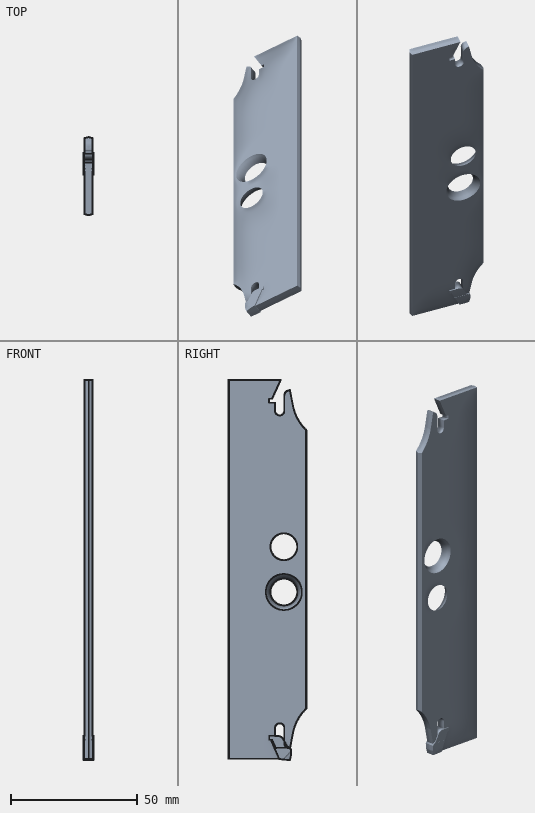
import cadquery as cq

BLADE_LENGTH = 150.0
BLADE_HEIGHT = 31.0
BLADE_THICKNESS = 3.3
EDGE_DEPTH = 0.5
HALF_LENGTH = BLADE_LENGTH / 2

HOLE_Y = 22.0
HOLE_SPACING = 18.0
HOLE_DIAMETER = 10.5
HOLE_MOUTH_DIAMETER = 14.3

SEAT_TOP_Y = 20.8
SEAT_ROOT_Y = 17.3
NOTCH_Y = 16.1
NOTCH_TOP_Z = 67.5
NOTCH_BOTTOM_Z = 66.0
SLOT_WIDTH = 3.6
SLOT_Y = 20.3
SLOT_BOTTOM_Z = 61.0
JAW_INNER_Z = 68.5
JAW_TOP_Z = 70.6
JAW_ROUND_Y = 23.2
JAW_ROUND_MID = (22.5, 69.9)
JAW_TIP_Y = 24.4
JAW_TIP_Z = 71.1

RELIEF_ARC_START = (25.8, 64.2)
RELIEF_ARC_MID = (27.9, 58.9)
RELIEF_EDGE_Z = 55.0

INSERT_WIDTH = 4.2
TAIL_WIDTH = 4.0
INSERT_TIP_Z = -75.6
HEAD_TOP_Z = -70.6
NOSE_Y = 24.9
NOSE_TOP_Z = -71.4
NOSE_BOTTOM_Z = -73.7
FLANK_Y = 20.2
FLANK_Z = -75.2
FLANK_TOP_Y = 16.9
TAIL_CORNER = (23.3, -70.2)
TAIL_ROUND_START = (22.0, -67.6)
TAIL_ROUND_MID = (21.1, -66.5)
TAIL_ROUND_END = (19.9, -66.0)
FACET_LENGTH_Y = 3.6
FACET_LENGTH_Z = 3.9
FACET_DEPTH = 0.5


def slab(profile, width):
    """Extrude a closed YZ profile symmetrically about X = 0."""
    return profile.close().extrude(width).translate((-width / 2, 0, 0))


def plate():
    """Plain blade with a V ridge along both long edges."""
    half = BLADE_THICKNESS / 2
    section = [
        (-half, EDGE_DEPTH),
        (0, 0),
        (half, EDGE_DEPTH),
        (half, BLADE_HEIGHT - EDGE_DEPTH),
        (0, BLADE_HEIGHT),
        (-half, BLADE_HEIGHT - EDGE_DEPTH),
    ]
    lower_end = cq.Workplane("XY", origin=(0, 0, -HALF_LENGTH))
    return lower_end.polyline(section).close().extrude(BLADE_LENGTH)


def end_cutout():
    """Material removed at the upper end: relief, insert pocket and slot."""
    slot_radius = SLOT_WIDTH / 2
    slot_front = SLOT_Y - slot_radius
    slot_back = SLOT_Y + slot_radius
    slot_arc_z = SLOT_BOTTOM_Z + slot_radius
    profile = (
        cq.Workplane("YZ")
        .moveTo(SEAT_TOP_Y, HALF_LENGTH)
        .lineTo(SEAT_ROOT_Y, NOTCH_TOP_Z)
        .lineTo(NOTCH_Y, NOTCH_TOP_Z)
        .lineTo(NOTCH_Y, NOTCH_BOTTOM_Z)
        .lineTo(slot_front, NOTCH_BOTTOM_Z)
        .lineTo(slot_front, slot_arc_z)
        .threePointArc((SLOT_Y, SLOT_BOTTOM_Z), (slot_back, slot_arc_z))
        .lineTo(slot_back, JAW_INNER_Z)
        .threePointArc(JAW_ROUND_MID, (JAW_ROUND_Y, JAW_TOP_Z))
        .lineTo(JAW_TIP_Y, JAW_TIP_Z)
        .lineTo(*RELIEF_ARC_START)
        .threePointArc(RELIEF_ARC_MID, (BLADE_HEIGHT, RELIEF_EDGE_Z))
        .lineTo(BLADE_HEIGHT, HALF_LENGTH)
    )
    return slab(profile, BLADE_THICKNESS)


def tapered_hole():
    """Conical hole at Z = 0 through the blade, widest at the -X face."""
    mouth = cq.Vector(-BLADE_THICKNESS / 2, HOLE_Y, 0)
    inward = cq.Vector(1, 0, 0)
    cone = cq.Solid.makeCone(
        HOLE_MOUTH_DIAMETER / 2, HOLE_DIAMETER / 2, BLADE_THICKNESS, mouth, inward
    )
    return cq.Workplane(cone)


def build_blade():
    """Blade with matching end pockets and two holes tapering in opposite directions."""
    upper_cutout = end_cutout()
    upper_hole = tapered_hole().translate((0, 0, HOLE_SPACING / 2))
    lower_hole = upper_hole.rotate((0, HOLE_Y, 0), (0, HOLE_Y + 1.5, 0), 180)
    body = plate().cut(upper_cutout).cut(upper_cutout.mirror("XY"))
    return body.cut(upper_hole).cut(lower_hole)


def flank_point(z):
    """Point at height z on the straight flank of the insert."""
    fraction = (z - FLANK_Z) / (-NOTCH_TOP_Z - FLANK_Z)
    return FLANK_Y + fraction * (FLANK_TOP_Y - FLANK_Y), z


def insert_head():
    """Cutting head below the step."""
    profile = (
        cq.Workplane("YZ")
        .moveTo(JAW_TIP_Y, HEAD_TOP_Z)
        .lineTo(NOSE_Y, NOSE_TOP_Z)
        .lineTo(NOSE_Y, NOSE_BOTTOM_Z)
        .lineTo(JAW_TIP_Y, INSERT_TIP_Z)
        .lineTo(FLANK_Y, FLANK_Z)
        .lineTo(*flank_point(HEAD_TOP_Z))
    )
    return slab(profile, INSERT_WIDTH)


def insert_tail():
    """Tail clamped between the seat and the jaw, ending in the stop notch."""
    profile = (
        cq.Workplane("YZ")
        .moveTo(*flank_point(HEAD_TOP_Z))
        .lineTo(FLANK_TOP_Y, -NOTCH_TOP_Z)
        .lineTo(NOTCH_Y, -NOTCH_TOP_Z)
        .lineTo(NOTCH_Y, -NOTCH_BOTTOM_Z)
        .lineTo(*TAIL_ROUND_END)
        .threePointArc(TAIL_ROUND_MID, TAIL_ROUND_START)
        .lineTo(*TAIL_CORNER)
        .lineTo(JAW_TIP_Y, HEAD_TOP_Z)
    )
    return slab(profile, TAIL_WIDTH)


def tip_facet():
    """Corner tetrahedron to remove from the -X side of the cutting tip."""
    side_x = -INSERT_WIDTH / 2
    corner = cq.Vector(side_x, NOSE_Y, INSERT_TIP_Z)
    along_y = corner - cq.Vector(0, FACET_LENGTH_Y, 0)
    along_z = corner + cq.Vector(0, 0, FACET_LENGTH_Z)
    inward = corner + cq.Vector(FACET_DEPTH, 0, 0)
    triangles = [
        (corner, along_y, along_z),
        (corner, along_y, inward),
        (corner, along_z, inward),
        (along_y, along_z, inward),
    ]
    outlines = [cq.Wire.makePolygon(points, close=True) for points in triangles]
    faces = [cq.Face.makeFromWires(outline) for outline in outlines]
    return cq.Workplane(cq.Solid.makeSolid(cq.Shell.makeShell(faces)))


def build_insert(blade):
    """Insert that straddles the blade: its side flanges lie on the blade faces."""
    facet = tip_facet()
    body = insert_head().union(insert_tail())
    body = body.cut(facet).cut(facet.mirror("YZ"))
    return body.cut(blade)


blade = build_blade()
insert = build_insert(blade)

result = cq.Compound.makeCompound([blade.val(), insert.solids().val()])